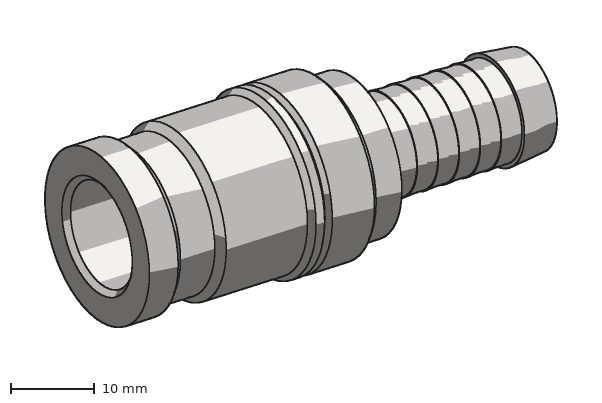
import cadquery as cq

total_length = 61.5

flange_radius = 11.25
flange_width = 4.1
neck_radius = 10.3
neck_end = 11.0
neck_bevel = flange_radius - neck_radius
sleeve_end = 22.65

nut_radius = 12.0
nut_end = 32.5
nut_bevel = nut_radius - flange_radius
groove_center = 25.15
groove_depth = 0.75
groove_half_width = 0.55

collar_radius = 10.5
collar_end = 36.65
tail_radius = 6.6
barb_radius = 7.15
barb_length = 5.05

tooth_count = 5
tooth_pitch = 3.0
tooth_height = 0.1
teeth_end = total_length - barb_length
teeth_start = teeth_end - tooth_count * tooth_pitch

socket_radius = 6.8
socket_depth = nut_end
socket_chamfer = 0.75
bore_radius = 4.55


def revolve_profile(points):
    """Revolve a closed (radius, Y) outline about the Y axis."""
    return cq.Workplane("XY").polyline(points).close().revolve(360, (0, 0, 0), (0, 1, 0))


def make_body():
    return revolve_profile([
        (0, 0),
        (flange_radius, 0),
        (flange_radius, flange_width),
        (neck_radius, flange_width + neck_bevel),
        (neck_radius, neck_end - neck_bevel),
        (flange_radius, neck_end),
        (flange_radius, sleeve_end),
        (nut_radius, sleeve_end + nut_bevel),
        (nut_radius, groove_center - groove_half_width),
        (nut_radius - groove_depth, groove_center),
        (nut_radius, groove_center + groove_half_width),
        (nut_radius, nut_end - nut_bevel),
        (nut_radius - nut_bevel, nut_end),
        (collar_radius, nut_end),
        (collar_radius, collar_end),
        (tail_radius, collar_end),
        (tail_radius, teeth_end),
        (barb_radius, teeth_end),
        (tail_radius, total_length),
        (0, total_length),
    ])


def make_tooth(start):
    """Ring with a steep shoulder at its start, tapering back to the tail at mid pitch."""
    return revolve_profile([
        (bore_radius, start),
        (tail_radius + tooth_height, start),
        (tail_radius, start + tooth_pitch / 2),
        (bore_radius, start + tooth_pitch / 2),
    ])


def make_bore():
    return revolve_profile([
        (0, 0),
        (socket_radius + socket_chamfer, 0),
        (socket_radius, socket_chamfer),
        (socket_radius, socket_depth),
        (bore_radius, socket_depth),
        (bore_radius, total_length),
        (0, total_length),
    ])


result = make_body()
for tooth in range(tooth_count):
    result = result.union(make_tooth(teeth_start + tooth * tooth_pitch))
result = result.cut(make_bore())